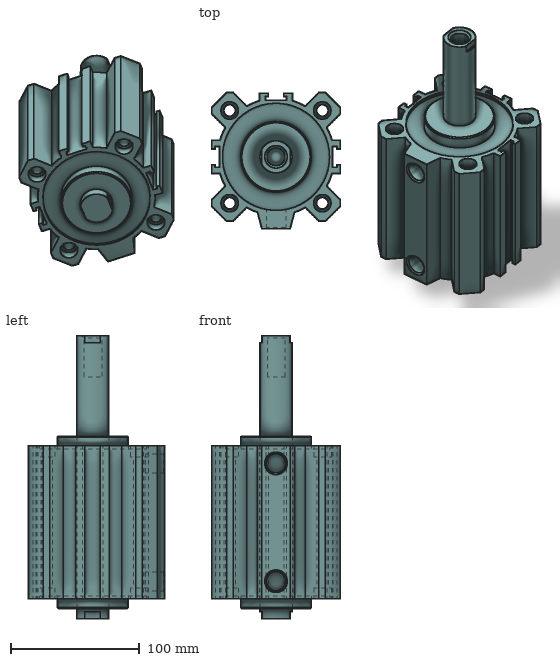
import cadquery as cq
import math

barrel_height = 119.0
barrel_diameter = 91.0
width = 100.0
half_width = width / 2

arm_width = 23.5
arm_reach = 62.5

tower_face_width = 22.0
tower_reach = 56.0
tower_flank_angle = 15.0
tower_root_reach = 40.0

rail_outer_half = 13.0
slot_half = 8.0
slot_mouth_half = 6.0
slot_floor_reach = 44.0
lip_thickness = 2.8
side_rail_reach = half_width
back_rail_reach = 49.5

mount_spacing = 72.0
mount_hole_diameter = 9.0
mount_counterbore_diameter = 13.5
mount_counterbore_depth = 8.5

port_diameter = 14.95
port_mouth_diameter = 17.5
port_chamfer = (port_mouth_diameter - port_diameter) / 2
port_depth = 15.0
port_inset = 13.75

cover_recess_diameter = 83.2
cover_recess_depth = 2.25
collar_diameter = 55.0
collar_height = 7.5
collar_chamfer = 1.0

rod_diameter = 25.0
rod_length = 220.0
rod_bottom = -15.5
rod_top = rod_bottom + rod_length
flat_spacing = 22.0
flat_length = 5.5
end_bore_diameter = 13.84
end_bore_mouth_diameter = 17.5
end_bore_chamfer = (end_bore_mouth_diameter - end_bore_diameter) / 2
end_bore_depth = 32.0


def cylinder(diameter, bottom, height):
    return cq.Workplane("XY").workplane(offset=bottom).circle(diameter / 2).extrude(height)


def make_arms():
    """Diagonal cross of four arms, its corners trimmed to the square envelope."""
    cross = cq.Workplane("XY")
    for angle in (45, 135):
        bar = cq.Workplane("XY").rect(2 * arm_reach, arm_width).extrude(barrel_height)
        cross = cross.add(bar.rotate((0, 0, 0), (0, 0, 1), angle))
    envelope = cq.Workplane("XY").rect(width, width).extrude(barrel_height)
    return cross.combine().intersect(envelope)


def make_port_tower():
    """Tapered ridge on the -Y side that carries the ports."""
    face_half = tower_face_width / 2
    flare = (tower_reach - tower_root_reach) * math.tan(math.radians(tower_flank_angle))
    root_half = face_half + flare
    outline = [
        (-face_half, -tower_reach),
        (face_half, -tower_reach),
        (root_half, -tower_root_reach),
        (-root_half, -tower_root_reach),
    ]
    return cq.Workplane("XY").polyline(outline).close().extrude(barrel_height)


def rail_block(reach):
    """Solid block toward +X from which a pair of sensor rails is cut."""
    rails_width = 2 * rail_outer_half
    block = cq.Workplane("XY").rect(rails_width, rails_width).extrude(barrel_height)
    return block.translate((reach - rail_outer_half, 0, 0))


def rail_slot(reach):
    """T-slot toward +X: a wide undercut behind two lips."""
    lip_start = reach - lip_thickness
    outline = [
        (slot_floor_reach, -slot_half),
        (lip_start, -slot_half),
        (lip_start, -slot_mouth_half),
        (reach, -slot_mouth_half),
        (reach, slot_mouth_half),
        (lip_start, slot_mouth_half),
        (lip_start, slot_half),
        (slot_floor_reach, slot_half),
    ]
    return cq.Workplane("XY").polyline(outline).close().extrude(barrel_height)


def make_port(height):
    """Blind port with a chamfered mouth, entering from the tower face."""
    mouth_radius = port_mouth_diameter / 2
    bore_radius = port_diameter / 2
    profile = [
        (0, 0),
        (mouth_radius, 0),
        (bore_radius, port_chamfer),
        (bore_radius, port_depth),
        (0, port_depth),
    ]
    port = cq.Workplane("XY").polyline(profile).close().revolve(360, (0, 0, 0), (0, 1, 0))
    return port.translate((0, -tower_reach, height))


def make_housing():
    body = cylinder(barrel_diameter, 0, barrel_height)
    body = body.union(make_arms()).union(make_port_tower())

    for angle, reach in ((0, side_rail_reach), (90, back_rail_reach), (180, side_rail_reach)):
        body = body.union(rail_block(reach).rotate((0, 0, 0), (0, 0, 1), angle))
        body = body.cut(rail_slot(reach).rotate((0, 0, 0), (0, 0, 1), angle))

    body = body.cut(cylinder(cover_recess_diameter, 0, cover_recess_depth))
    body = body.cut(cylinder(cover_recess_diameter, barrel_height - cover_recess_depth, cover_recess_depth))
    collars = cylinder(collar_diameter, -collar_height, barrel_height + 2 * collar_height)
    body = body.union(collars.faces("<Z or >Z").chamfer(collar_chamfer))

    mounts = cq.Workplane("XY").rect(mount_spacing, mount_spacing, forConstruction=True).vertices()
    body = body.cut(mounts.circle(mount_hole_diameter / 2).extrude(barrel_height))
    counterbores = mounts.circle(mount_counterbore_diameter / 2).extrude(mount_counterbore_depth)
    body = body.cut(counterbores)
    body = body.cut(counterbores.translate((0, 0, barrel_height - mount_counterbore_depth)))

    for height in (port_inset, barrel_height - port_inset):
        body = body.cut(make_port(height))

    return body.cut(cylinder(rod_diameter, rod_bottom, rod_length))


def make_rod():
    rod = cylinder(rod_diameter, rod_bottom, rod_length)

    for start in (rod_bottom, rod_top - flat_length):
        end_slice = cylinder(2 * rod_diameter, start, flat_length)
        across_flats = (
            cq.Workplane("XY")
            .workplane(offset=start)
            .rect(flat_spacing, 2 * rod_diameter)
            .extrude(flat_length)
        )
        rod = rod.cut(end_slice.cut(across_flats))

    rod = rod.faces(">Z").workplane(origin=(0, 0, rod_top)).hole(end_bore_diameter, end_bore_depth)
    return rod.faces(">Z").edges(cq.selectors.RadiusNthSelector(0)).chamfer(end_bore_chamfer)


housing = make_housing()
rod = make_rod()

result = cq.Compound.makeCompound([housing.val(), rod.val()])